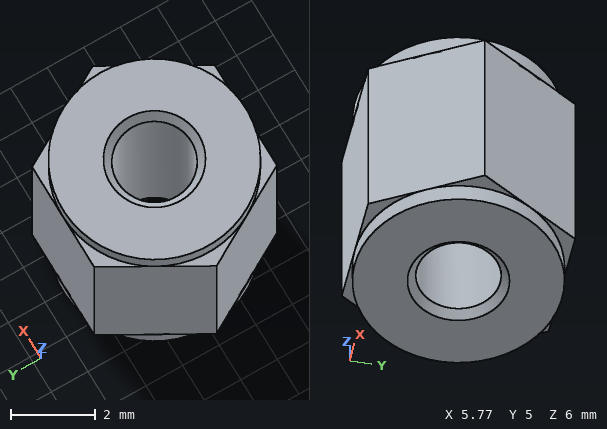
import cadquery as cq
import math

total_height = 6.0
across_flats = 5.0
collar_diameter = across_flats
collar_height = 0.5
bore_diameter = 2.01
bore_chamfer = 0.2

across_corners = across_flats / math.cos(math.radians(30))
hex_height = total_height - 2 * collar_height

hex_body = (
    cq.Workplane("XY")
    .workplane(offset=collar_height)
    .polygon(6, across_corners)
    .extrude(hex_height)
)

collar_core = cq.Workplane("XY").circle(collar_diameter / 2).extrude(total_height)

bore = cq.Workplane("XY").circle(bore_diameter / 2).extrude(total_height)
spacer = hex_body.union(collar_core).cut(bore)
bore_mouths = cq.selectors.RadiusNthSelector(0)
result = spacer.faces("<Z or >Z").edges(bore_mouths).chamfer(bore_chamfer)